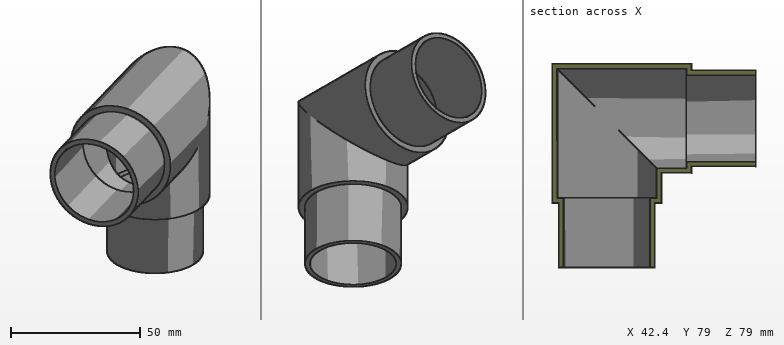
import cadquery as cq

overall_length = 79.0
body_diameter = 42.4
spigot_diameter = 37.4
spigot_bore = 33.4
body_bore = 38.4
spigot_length = 25.0

DOWN = (0, 0, -1)
FRONT = (0, -1, 0)

body_radius = body_diameter / 2
leg_length = overall_length - body_radius
shoulder_distance = leg_length - spigot_length
end_wall = (body_diameter - body_bore) / 2


def cylinder_along_leg(direction, diameter, start, end):
    """Cylinder on a leg axis between two signed distances from the corner."""
    axis = cq.Vector(*direction)
    return cq.Workplane(cq.Solid.makeCylinder(diameter / 2, end - start, axis * start, axis))


def mitred_corner(diameter, length):
    """Two equal cylinders meeting on the 45 degree plane through the corner."""
    radius = diameter / 2
    down_leg = cylinder_along_leg(DOWN, diameter, -radius, length)
    front_leg = cylinder_along_leg(FRONT, diameter, -radius, length)
    reach = length + radius
    front_side = (
        cq.Workplane("YZ")
        .polyline([(-reach, -reach), (reach, reach), (-reach, reach)])
        .close()
        .extrude(diameter, both=True)
    )
    return front_leg.intersect(front_side).union(down_leg.cut(front_side))


result = mitred_corner(body_diameter, shoulder_distance)
result = result.cut(mitred_corner(body_bore, shoulder_distance - end_wall))

for leg in (DOWN, FRONT):
    spigot = cylinder_along_leg(leg, spigot_diameter, shoulder_distance - end_wall, leg_length)
    bore = cylinder_along_leg(leg, spigot_bore, shoulder_distance - end_wall, leg_length)
    result = result.union(spigot).cut(bore)